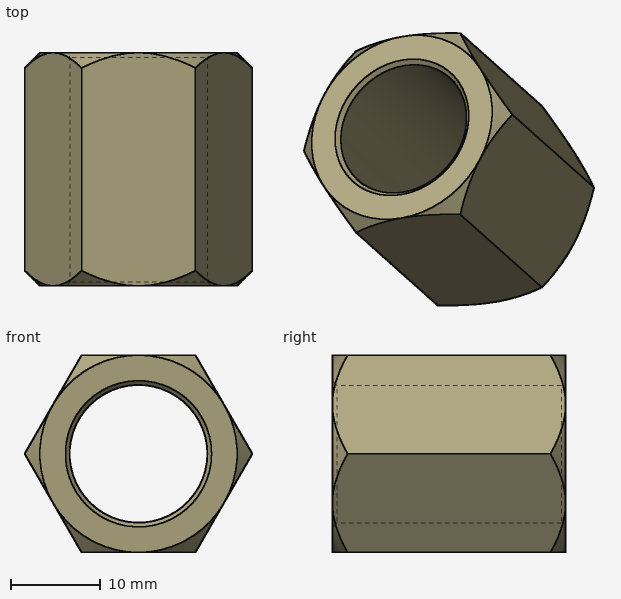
import cadquery as cq
import math

ACROSS_FLATS = 22.0
LENGTH = 26.0
BORE_DIAMETER = 15.33
BORE_MOUTH_DIAMETER = 16.3
END_FACE_DIAMETER = ACROSS_FLATS
CHAMFER_ANGLE = 45.0
CORNER_CLEARANCE = 1.0

HEX_SIDES = 6
HALF_LENGTH = LENGTH / 2
ACROSS_CORNERS = ACROSS_FLATS / math.cos(math.pi / HEX_SIDES)


def hexagonal_bar():
    """Hexagonal prism along Y with two corners on the X axis."""
    return cq.Workplane("XZ").polygon(HEX_SIDES, ACROSS_CORNERS).extrude(HALF_LENGTH, both=True)


def cone_ended_cylinder(middle_radius, end_radius):
    """Full-length cylinder along Y whose ends taper or flare to end_radius."""
    cone_length = abs(end_radius - middle_radius) / math.tan(math.radians(CHAMFER_ANGLE))
    cone_start = HALF_LENGTH - cone_length
    profile = [
        (0, -HALF_LENGTH),
        (end_radius, -HALF_LENGTH),
        (middle_radius, -cone_start),
        (middle_radius, cone_start),
        (end_radius, HALF_LENGTH),
        (0, HALF_LENGTH),
    ]
    return cq.Workplane("XY").polyline(profile).close().revolve(360, (0, 0), (0, 1))


def corner_chamfer_envelope():
    """Cylinder with tapered ends that trims the hexagon corners."""
    return cone_ended_cylinder(ACROSS_CORNERS / 2 + CORNER_CLEARANCE, END_FACE_DIAMETER / 2)


def chamfered_bore():
    """Through bore with a flared chamfer at each mouth."""
    return cone_ended_cylinder(BORE_DIAMETER / 2, BORE_MOUTH_DIAMETER / 2)


result = hexagonal_bar().intersect(corner_chamfer_envelope()).cut(chamfered_bore())